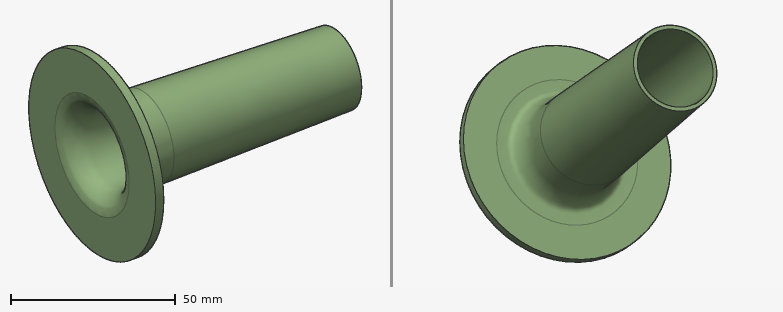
import cadquery as cq

length = 90.0
flange_radius = 34.0
flange_thickness = 3.1
end_outer_radius = 13.7
bore_radius = 12.4
flare_length = 19.5
flare_outer_radius = 15.5
flare_foot_radius = 23.1
mouth_radius = 19.9
waist_radius = 16.3
waist_height = 6.9
turn_radius = 18.3
turn_height = 3.5
mouth_turn_radius = 15.8
mouth_turn_height = 1.8

half_length = length / 2
flange_face = -half_length
tube_end = half_length
flange_back = flange_face + flange_thickness
flare_start = flange_face + flare_length

taper = (flare_outer_radius - end_outer_radius, flare_start - tube_end)
outward = (1, 0)
along_bore = (0, 1)

profile = (
    cq.Workplane("XY")
    .moveTo(bore_radius, tube_end)
    .lineTo(end_outer_radius, tube_end)
    .lineTo(flare_outer_radius, flare_start)
    .spline(
        [
            (waist_radius, flange_face + waist_height),
            (turn_radius, flange_face + turn_height),
            (flare_foot_radius, flange_back),
        ],
        tangents=[taper, outward],
        includeCurrent=True,
    )
    .lineTo(flange_radius, flange_back)
    .lineTo(flange_radius, flange_face)
    .lineTo(mouth_radius, flange_face)
    .spline(
        [
            (mouth_turn_radius, flange_face + mouth_turn_height),
            (bore_radius, flare_start),
        ],
        tangents=[(-outward[0], outward[1]), along_bore],
        includeCurrent=True,
    )
    .close()
)

result = profile.revolve(360, (0, 0, 0), (0, 1, 0))